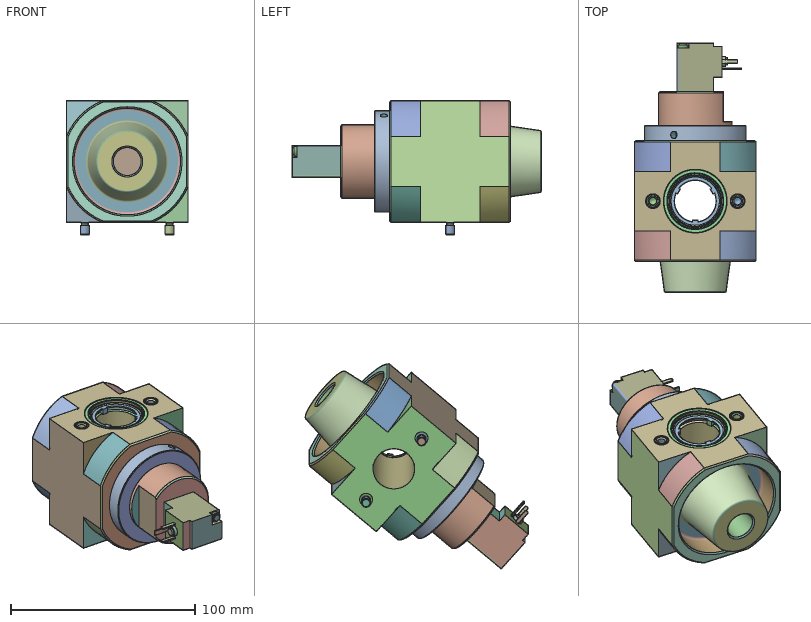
import cadquery as cq
import math


BLOCK_X = 66.0
BLOCK_Y = 65.6
BLOCK_Z = 66.0
WAIST_Y = 32.1
END_RADIUS = 35.6
END_CHAMFER = 0.8
FRONT_Y = -BLOCK_Y / 2
REAR_Y = BLOCK_Y / 2
TOP_Z = BLOCK_Z / 2
BOTTOM_Z = -BLOCK_Z / 2

RECESS_RADIUS = 28.9
RECESS_FLOOR_Y = -18.9
RECESS_FILLET = 1.2
RECESS_CHAMFER = 0.8
CONE_ROOT_RADIUS = 21.2
CONE_TIP_RADIUS = 16.7
CONE_TIP_Y = -49.4
CONE_TIP_FILLET = 0.8
CONE_BORE_CHAMFER = 0.8
CONE_BORE_RADIUS = 7.5
CONE_BORE_DEPTH = 16.2

FLANGE_RADIUS = 27.5
FLANGE_REAR_Y = 41.0
FLANGE_CHAMFER = 0.4
VENT_DIAMETER = 3.8
VENT_Y = 35.9
VENT_ANGLE = 115.0
VENT_DEPTH = 6.8
CAP_RADIUS = 20.0
CAP_REAR_Y = 59.4
CAP_CHAMFER = 0.8
CAP_FLAT_X = 15.3
CAP_FLAT_START_Y = 43.0

SEAL_SEAT_DIAMETER = 34.0
SEAL_SEAT_DEPTH = 0.3
MOUTH_DIAMETER = 30.0
MOUTH_CHAMFER = 0.4
SHOULDER_DEPTH = 1.9
RIDGE_OUTER_DIAMETER = 28.6
RIDGE_CREST_DIAMETER = 27.5
RIDGE_INNER_DIAMETER = 26.2
RIDGE_HEIGHT = 0.7
UNDERCUT_DIAMETER = 25.9
LEDGE_DROP = 3.2
SHOULDER_LIP = 0.8
PORT_DIAMETER = 22.5
LUG_COUNT = 3
LUG_TIP_RADIUS = 10.3
LUG_WIDTH = 3.1
LUG_START_ANGLE = 30.0

STUD_OFFSET_X = 23.0
STUD_DIAMETER = 7.0
STUD_SEAT_DIAMETER = 8.0
STUD_NECK_DIAMETER = 4.2
STUD_GROOVE_DIAMETER = 3.6
STUD_NECK_LENGTH = 1.8
STUD_TIP_DIAMETER = 5.0
STUD_LENGTH_BELOW = 6.8
STUD_TIP_CHAMFER = 0.4
STUD_BORE_DIAMETER = 4.0
STUD_BORE_MOUTH_DIAMETER = 5.5
STUD_BORE_DEPTH = 6.1
DRILL_POINT_ANGLE = 118.0

COIL_X = 20.0
COIL_Z = 17.3
COIL_REAR_Y = 85.6
COIL_FILLET = 1.0
SOCKET_FACE_X = 14.6
SOCKET_FRONT_Y = 67.1
SOCKET_REAR_Y = 83.8
CORNER_POCKET_X = 6.5
CORNER_POCKET_Z = 6.5
CORNER_POCKET_DEPTH = 2.5
SCREW_X = -6.6
SCREW_Z = 5.4
SCREW_HEAD_DIAMETER = 5.5
SCREW_HEAD_HEIGHT = 1.6
SCREW_TIP_DIAMETER = 3.8
CONTACT_Y = 75.7
BOSS_DIAMETER = 5.5
BOSS_END_X = 16.5
BOSS_STEP_DIAMETER = 4.0
BOSS_STEP_END_X = 17.5
CONTACT_END_X = 23.0
CONTACT_WIDTH = 2.0
CONTACT_THICKNESS = 0.8
CONTACT_OFFSET_Z = 4.2
CONTACT_CHAMFER = 0.3
EARTH_END_X = 25.0
EARTH_Y = 71.8
EARTH_WIDTH = 2.5
EARTH_THICKNESS = 0.8


def cylinder_y(radius, start_y, end_y, x=0, z=0):
    """Cylinder along Y between two Y positions."""
    solid = cq.Solid.makeCylinder(
        radius, end_y - start_y, cq.Vector(x, start_y, z), cq.Vector(0, 1, 0)
    )
    return cq.Workplane(solid)


def cylinder_x(radius, start_x, end_x, y):
    """Cylinder along X between two X positions, at Z = 0."""
    solid = cq.Solid.makeCylinder(
        radius, end_x - start_x, cq.Vector(start_x, y, 0), cq.Vector(1, 0, 0)
    )
    return cq.Workplane(solid)


def box_between(x_range, y_range, z_range):
    """Box given by its lower and upper limits on each axis."""
    sizes = [high - low for low, high in (x_range, y_range, z_range)]
    corner = (x_range[0], y_range[0], z_range[0])
    return cq.Workplane().box(*sizes, centered=False).translate(corner)


def turned_about_z(profile):
    """Solid of revolution about Z from (radius, z) points."""
    return cq.Workplane("XZ").polyline(profile).close().revolve(360, (0, 0, 0), (0, 1, 0))


def make_block():
    """Square block whose corners are rounded towards both ends."""
    rounded = cq.Workplane().box(BLOCK_X, BLOCK_Y, BLOCK_Z)
    rounded = rounded.intersect(cylinder_y(END_RADIUS, FRONT_Y, REAR_Y))
    rounded = rounded.faces("<Y or >Y").chamfer(END_CHAMFER)
    waist = cq.Workplane().box(BLOCK_X, WAIST_Y, BLOCK_Z)
    return rounded.union(waist)


def make_cone():
    """Plain tapered nose reaching from its tip to the recess floor."""
    return cq.Workplane(
        cq.Solid.makeCone(
            CONE_TIP_RADIUS,
            CONE_ROOT_RADIUS,
            RECESS_FLOOR_Y - CONE_TIP_Y,
            cq.Vector(0, CONE_TIP_Y, 0),
            cq.Vector(0, 1, 0),
        )
    )


def cut_front_recess(body):
    """Ring-shaped recess around the cone, filleted along both edges of its floor."""
    mouth = cq.Solid.makeCone(
        RECESS_RADIUS + RECESS_CHAMFER,
        RECESS_RADIUS,
        RECESS_CHAMFER,
        cq.Vector(0, FRONT_Y, 0),
        cq.Vector(0, 1, 0),
    )
    recess = cylinder_y(RECESS_RADIUS, FRONT_Y, RECESS_FLOOR_Y).cut(make_cone())
    recess = recess.faces(">Y").edges().fillet(RECESS_FILLET)
    return body.cut(cq.Workplane(mouth)).cut(recess)


def add_cone(body):
    """Cone with a rounded tip and a chamfered blind bore."""
    bore = cylinder_y(CONE_BORE_RADIUS, CONE_TIP_Y, CONE_TIP_Y + CONE_BORE_DEPTH)
    cone = make_cone().faces("<Y").edges().fillet(CONE_TIP_FILLET)
    cone = cone.cut(bore).faces("<Y").edges(cq.selectors.RadiusNthSelector(0)).chamfer(CONE_BORE_CHAMFER)
    return body.cut(bore).union(cone)


def add_rear_flange(body):
    """Flange disc with one radial vent hole."""
    flange = cylinder_y(FLANGE_RADIUS, REAR_Y, FLANGE_REAR_Y).faces(">Y").chamfer(FLANGE_CHAMFER)
    angle = math.radians(VENT_ANGLE)
    outward = cq.Vector(math.cos(angle), 0, math.sin(angle))
    start = outward * (FLANGE_RADIUS - VENT_DEPTH) + cq.Vector(0, VENT_Y, 0)
    vent = cq.Solid.makeCylinder(VENT_DIAMETER / 2, 2 * VENT_DEPTH, start, outward)
    return body.union(flange.cut(cq.Workplane(vent)))


def add_cap(body):
    """Round pilot cap with a flat on its +X side."""
    cap = cylinder_y(CAP_RADIUS, FLANGE_REAR_Y, CAP_REAR_Y).faces(">Y").chamfer(CAP_CHAMFER)
    beyond_flat = box_between(
        (CAP_FLAT_X, CAP_RADIUS), (CAP_FLAT_START_Y, CAP_REAR_Y), (-CAP_RADIUS, CAP_RADIUS)
    )
    return body.union(cap.cut(beyond_flat))


def cut_port(body):
    """Stepped through-port with small lugs left standing across its undercut."""
    seat_z = TOP_Z - SEAL_SEAT_DEPTH
    shoulder_z = TOP_Z - SHOULDER_DEPTH
    ledge_z = shoulder_z - LEDGE_DROP
    port = turned_about_z([
        (0, TOP_Z),
        (SEAL_SEAT_DIAMETER / 2 + SEAL_SEAT_DEPTH, TOP_Z),
        (SEAL_SEAT_DIAMETER / 2, seat_z),
        (MOUTH_DIAMETER / 2 + MOUTH_CHAMFER, seat_z),
        (MOUTH_DIAMETER / 2, seat_z - MOUTH_CHAMFER),
        (MOUTH_DIAMETER / 2, shoulder_z),
        (RIDGE_OUTER_DIAMETER / 2, shoulder_z),
        (RIDGE_CREST_DIAMETER / 2, shoulder_z + RIDGE_HEIGHT),
        (RIDGE_INNER_DIAMETER / 2, shoulder_z),
        (PORT_DIAMETER / 2, shoulder_z),
        (PORT_DIAMETER / 2, shoulder_z - SHOULDER_LIP),
        (UNDERCUT_DIAMETER / 2, shoulder_z - SHOULDER_LIP),
        (UNDERCUT_DIAMETER / 2, ledge_z),
        (PORT_DIAMETER / 2, ledge_z),
        (PORT_DIAMETER / 2, BOTTOM_Z),
        (0, BOTTOM_Z),
    ])
    lug = box_between(
        (LUG_TIP_RADIUS, UNDERCUT_DIAMETER / 2),
        (-LUG_WIDTH / 2, LUG_WIDTH / 2),
        (ledge_z, shoulder_z),
    )
    for index in range(LUG_COUNT):
        angle = LUG_START_ANGLE + index * 360 / LUG_COUNT
        port = port.cut(lug.rotate((0, 0, 0), (0, 0, 1), angle))
    return body.cut(port)


def cut_stud_holes(body):
    """Countersunk through-holes that the studs fill."""
    countersink_depth = (STUD_SEAT_DIAMETER - STUD_DIAMETER) / 2
    hole = turned_about_z([
        (0, TOP_Z),
        (STUD_SEAT_DIAMETER / 2, TOP_Z),
        (STUD_DIAMETER / 2, TOP_Z - countersink_depth),
        (STUD_DIAMETER / 2, BOTTOM_Z),
        (0, BOTTOM_Z),
    ])
    for side in (-1, 1):
        body = body.cut(hole.translate((side * STUD_OFFSET_X, 0, 0)))
    return body


def make_housing():
    body = make_block()
    body = cut_front_recess(body)
    body = add_cone(body)
    body = add_rear_flange(body)
    body = add_cap(body)
    body = cut_port(body)
    return cut_stud_holes(body)


def make_stud(x):
    """Stud with a necked pin end below the block and a drilled bore at its top."""
    neck_end_z = BOTTOM_Z - STUD_NECK_LENGTH
    end_z = BOTTOM_Z - STUD_LENGTH_BELOW
    bore_bottom_z = TOP_Z - STUD_BORE_DEPTH
    mouth_depth = (STUD_BORE_MOUTH_DIAMETER - STUD_BORE_DIAMETER) / 2
    point_depth = STUD_BORE_DIAMETER / 2 / math.tan(math.radians(DRILL_POINT_ANGLE / 2))
    stud = turned_about_z([
        (0, end_z),
        (STUD_TIP_DIAMETER / 2 - STUD_TIP_CHAMFER, end_z),
        (STUD_TIP_DIAMETER / 2, end_z + STUD_TIP_CHAMFER),
        (STUD_TIP_DIAMETER / 2, neck_end_z),
        (STUD_NECK_DIAMETER / 2, neck_end_z),
        (STUD_GROOVE_DIAMETER / 2, BOTTOM_Z - STUD_NECK_LENGTH / 2),
        (STUD_NECK_DIAMETER / 2, BOTTOM_Z),
        (STUD_DIAMETER / 2, BOTTOM_Z),
        (STUD_DIAMETER / 2, TOP_Z),
        (STUD_BORE_MOUTH_DIAMETER / 2, TOP_Z),
        (STUD_BORE_DIAMETER / 2, TOP_Z - mouth_depth),
        (STUD_BORE_DIAMETER / 2, bore_bottom_z),
        (0, bore_bottom_z - point_depth),
    ])
    return stud.translate((x, 0, 0))


def make_coil():
    """Coil block with rounded -X edges and a raised connector face on +X."""
    z_range = (-COIL_Z / 2, COIL_Z / 2)
    coil = box_between((-COIL_X / 2, COIL_X / 2), (CAP_REAR_Y, COIL_REAR_Y), z_range)
    coil = coil.faces("<X").edges("|Y").fillet(COIL_FILLET)
    socket_face = box_between((0, SOCKET_FACE_X), (SOCKET_FRONT_Y, SOCKET_REAR_Y), z_range)
    return coil.union(socket_face)


def add_corner_screw(body):
    """Corner pocket at the rear with a stepped screw head standing in it."""
    floor_y = COIL_REAR_Y - CORNER_POCKET_DEPTH
    pocket = box_between(
        (-COIL_X / 2, -COIL_X / 2 + CORNER_POCKET_X),
        (floor_y, COIL_REAR_Y),
        (COIL_Z / 2 - CORNER_POCKET_Z, COIL_Z / 2),
    )
    head_end_y = floor_y + SCREW_HEAD_HEIGHT
    head = cylinder_y(SCREW_HEAD_DIAMETER / 2, floor_y, head_end_y, SCREW_X, SCREW_Z)
    tip = cylinder_y(SCREW_TIP_DIAMETER / 2, head_end_y, COIL_REAR_Y, SCREW_X, SCREW_Z)
    return body.cut(pocket).union(head).union(tip)


def add_connector(body):
    """Stepped centre boss, two flat contacts and one earth blade on the +X side."""
    body = body.union(cylinder_x(BOSS_DIAMETER / 2, SOCKET_FACE_X, BOSS_END_X, CONTACT_Y))
    body = body.union(cylinder_x(BOSS_STEP_DIAMETER / 2, BOSS_END_X, BOSS_STEP_END_X, CONTACT_Y))
    contact = box_between(
        (SOCKET_FACE_X, CONTACT_END_X),
        (CONTACT_Y - CONTACT_WIDTH / 2, CONTACT_Y + CONTACT_WIDTH / 2),
        (-CONTACT_THICKNESS / 2, CONTACT_THICKNESS / 2),
    )
    contact = contact.faces(">X").edges("|Z").chamfer(CONTACT_CHAMFER)
    for side in (-1, 1):
        body = body.union(contact.translate((0, 0, side * CONTACT_OFFSET_Z)))
    earth = box_between(
        (SOCKET_FACE_X, EARTH_END_X),
        (EARTH_Y - EARTH_THICKNESS / 2, EARTH_Y + EARTH_THICKNESS / 2),
        (-EARTH_WIDTH / 2, EARTH_WIDTH / 2),
    )
    return body.union(earth)


def make_solenoid():
    return add_connector(add_corner_screw(make_coil()))


housing = make_housing()
solenoid = make_solenoid()
studs = [make_stud(side * STUD_OFFSET_X) for side in (-1, 1)]

result = cq.Compound.makeCompound([
    housing.solids().val(),
    solenoid.solids().val(),
    *[stud.val() for stud in studs],
])